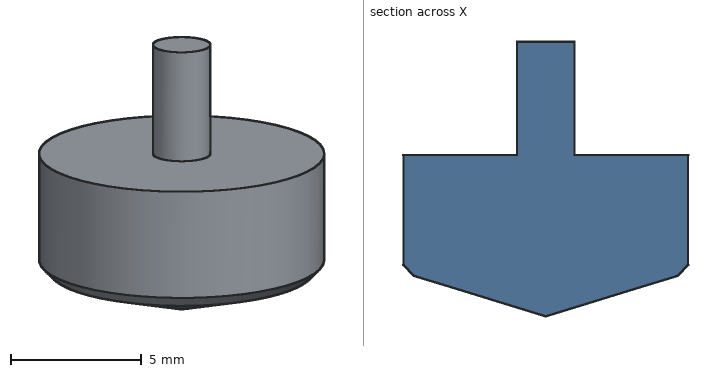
import cadquery as cq

body_diameter = 10.9
pin_diameter = 2.2
total_height = 10.5

cone_height = 1.55
bevel_height = 0.43
pin_height = 4.32
bevel_width = 0.4

body_radius = body_diameter / 2
pin_radius = pin_diameter / 2
cone_radius = body_radius - bevel_width

body_bottom = cone_height + bevel_height
body_top = total_height - pin_height

profile = (
    cq.Workplane("XZ")
    .moveTo(0, 0)
    .lineTo(cone_radius, cone_height)
    .lineTo(body_radius, body_bottom)
    .lineTo(body_radius, body_top)
    .lineTo(pin_radius, body_top)
    .lineTo(pin_radius, total_height)
    .lineTo(0, total_height)
    .close()
)
result = profile.revolve(360, (0, 0, 0), (0, 1, 0))